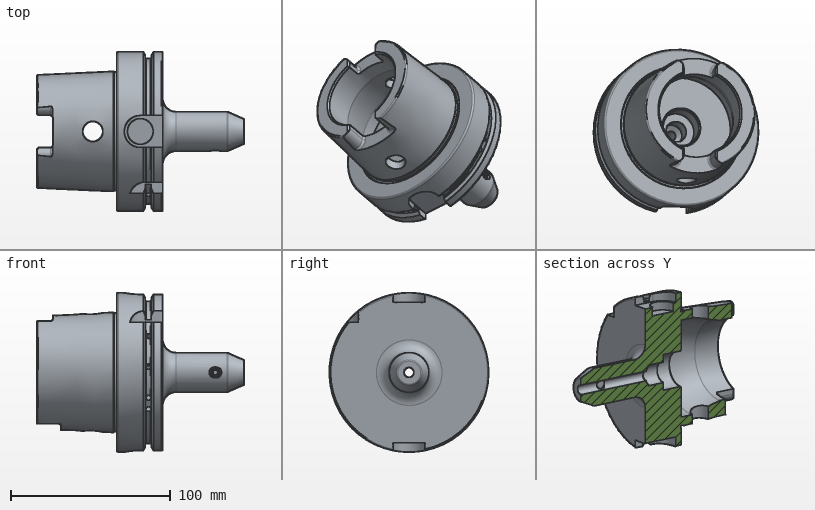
import cadquery as cq
import math


taper_length = 50.0
nose_end = 80.0
flange_width = 29.0

taper_end_radius = 35.5
taper_seat_radius = 37.7
taper_end_fillet = 0.9
undercut_start = -2.2
undercut_floor_start = -1.4
undercut_radius = 37.3
undercut_depth = 0.4
undercut_outer_radius = 39.1

flange_radius = 49.98
flange_edge_fillet = 1.0
rim_fillet = 0.9
groove_left = 16.6
groove_right = 23.1
groove_wall_left = 18.0
groove_wall_right = 21.7
groove_bevel_radius = 47.7
groove_floor_radius = 45.8
groove_corner_radius = 0.5

shank_radius = 12.5
shank_root_radius = 8.0
nose_cone_start = 69.3
nose_cone_end_radius = 7.8
nose_shoulder_fillet = 1.7
nose_end_fillet = 0.9

mouth_radius = 26.0
mouth_chamfer = 1.0
grip_cone_start = -30.5
grip_cone_end = -8.6
chamber_radius = 31.5
chamber_floor = 0.0
thread_radius = 11.5
thread_chamfer = 0.9
thread_floor = 14.3
drill_radius = 6.5
drill_end = 26.0
drill_tip_angle = 59
tool_bore_radius = 3.0

slot_half_width = 10.0
slot_flare_start = 27.2
slot_flare_radius = 5.1
slot_flare_half_width = 19.5
slot_corner_fillet = 1.4
slot_mouth_chamfer = 1.2
upper_slot_depth = 10.0
lower_slot_depth = 15.1

cross_hole_x = -15.0
cross_hole_radius = 6.2

keyway_x = 14.8
keyway_half_width = 10.0
keyway_floor = 44.0
chip_hole_radius = 8.0
chip_hole_depth = 5.5

notch_x = 18.0
notch_wall_y = -31.7
notch_floor_z = 31.5
notch_radius = 10.0

groove_hole_x = 20.0
groove_hole_radius = 1.7
groove_hole_depth = 12.2
groove_hole_angles = (29.8, 4.6, -20.3, -30.2)

screw_x = 61.9
screw_radius = 3.0
screw_hole_chamfer = 0.9
screw_recess = 0.5
screw_chamfer = 0.8
socket_width = 3.0
socket_depth = 3.2


def cylinder(start, direction, radius, length):
    return cq.Workplane(cq.Solid.makeCylinder(radius, length, cq.Vector(*start), cq.Vector(*direction)))


def revolve_about_x(profile):
    return profile.close().revolve(360, (0, 0, 0), (1, 0, 0))


def make_taper():
    taper = (
        cq.Workplane("XY")
        .moveTo(-taper_length, 0)
        .lineTo(-taper_length, taper_end_radius)
        .lineTo(undercut_start, taper_seat_radius)
        .lineTo(undercut_floor_start, undercut_radius)
        .lineTo(undercut_depth, undercut_radius)
        .lineTo(undercut_depth, 0)
    )
    return revolve_about_x(taper).faces("<X").edges().fillet(taper_end_fillet)


def make_flange():
    flange = cylinder((0, 0, 0), (1, 0, 0), flange_radius, flange_width)
    flange = flange.faces("<X").edges().fillet(flange_edge_fillet)
    flange = flange.faces(">X").edges().fillet(rim_fillet)
    for side in (0, 180):
        flange = flange.cut(keyway().rotate((0, 0, 0), (1, 0, 0), side))
    face_recess = (
        cq.Workplane("XY")
        .moveTo(0, 0)
        .lineTo(0, undercut_outer_radius)
        .lineTo(undercut_depth, undercut_outer_radius - undercut_depth)
        .lineTo(undercut_depth, 0)
    )
    return flange.cut(revolve_about_x(face_recess)).cut(gripping_groove())


def gripping_groove():
    corner = groove_corner_radius
    profile = (
        cq.Workplane("XY")
        .moveTo(groove_left, flange_radius)
        .lineTo(groove_wall_left, groove_bevel_radius)
        .lineTo(groove_wall_left, groove_floor_radius + corner)
        .radiusArc((groove_wall_left + corner, groove_floor_radius), -corner)
        .lineTo(groove_wall_right - corner, groove_floor_radius)
        .radiusArc((groove_wall_right, groove_floor_radius + corner), -corner)
        .lineTo(groove_wall_right, groove_bevel_radius)
        .lineTo(groove_right, flange_radius)
    )
    return revolve_about_x(profile)


def make_shank():
    profile = (
        cq.Workplane("XY")
        .moveTo(flange_width - 1.3, 0)
        .lineTo(flange_width - 1.3, shank_radius + shank_root_radius)
        .lineTo(flange_width, shank_radius + shank_root_radius)
        .radiusArc((flange_width + shank_root_radius, shank_radius), -shank_root_radius)
        .lineTo(nose_cone_start, shank_radius)
        .lineTo(nose_end, nose_cone_end_radius)
        .lineTo(nose_end, 0)
    )
    shank = revolve_about_x(profile)
    shoulder = cq.selectors.BoxSelector(
        (nose_cone_start - 0.1, -26, -26), (nose_cone_start + 0.1, 26, 26), boundingbox=True
    )
    shank = shank.edges(shoulder).fillet(nose_shoulder_fillet)
    return shank.faces(">X").edges().fillet(nose_end_fillet)


def axial_bores():
    drill_tip_end = drill_end + (drill_radius - tool_bore_radius) / math.tan(math.radians(drill_tip_angle))
    profile = (
        cq.Workplane("XY")
        .moveTo(-taper_length, 0)
        .lineTo(-taper_length, mouth_radius + mouth_chamfer)
        .lineTo(-taper_length + mouth_chamfer, mouth_radius)
        .lineTo(grip_cone_start, mouth_radius)
        .lineTo(grip_cone_end, chamber_radius)
        .lineTo(chamber_floor, chamber_radius)
        .lineTo(chamber_floor, thread_radius + thread_chamfer)
        .lineTo(chamber_floor + thread_chamfer, thread_radius)
        .lineTo(thread_floor, thread_radius)
        .lineTo(thread_floor, drill_radius)
        .lineTo(drill_end, drill_radius)
        .lineTo(drill_tip_end, tool_bore_radius)
        .lineTo(nose_end, tool_bore_radius)
        .lineTo(nose_end, 0)
    )
    return revolve_about_x(profile)


def drive_slot(depth):
    """Slot on the +Z side of the open end, with walls that flare outwards near the surface."""
    flare_end_y = slot_half_width + slot_flare_radius
    flare_end_z = slot_flare_start + slot_flare_radius
    top = taper_seat_radius + 1.3
    slot = (
        cq.Workplane("YZ", origin=(-taper_length, 0, 0))
        .moveTo(-slot_half_width, 0)
        .lineTo(-slot_half_width, slot_flare_start)
        .radiusArc((-flare_end_y, flare_end_z), -slot_flare_radius)
        .lineTo(-slot_flare_half_width, flare_end_z)
        .lineTo(-slot_flare_half_width, top)
        .lineTo(slot_flare_half_width, top)
        .lineTo(slot_flare_half_width, flare_end_z)
        .lineTo(flare_end_y, flare_end_z)
        .radiusArc((slot_half_width, slot_flare_start), -slot_flare_radius)
        .lineTo(slot_half_width, 0)
        .close()
        .extrude(depth)
    )
    walls = cq.selectors.BoxSelector(
        (-taper_length + depth - 0.1, -slot_flare_half_width - 0.1, -0.1),
        (-taper_length + depth + 0.1, slot_flare_half_width + 0.1, flare_end_z + 0.1),
        boundingbox=True,
    )
    slot = slot.edges(walls).edges("not(<Z)").fillet(slot_corner_fillet)
    mouth_half_width = slot_half_width + slot_mouth_chamfer
    mouth = (
        cq.Workplane("XY")
        .moveTo(-taper_length, -mouth_half_width)
        .lineTo(-taper_length, mouth_half_width)
        .lineTo(-taper_length + slot_mouth_chamfer, slot_half_width)
        .lineTo(-taper_length + slot_mouth_chamfer, -slot_half_width)
        .close()
        .extrude(top)
    )
    return slot.union(mouth)


def keyway():
    """Round-ended keyway on the +Z side of the flange, open at the rim."""
    length = flange_width - keyway_x + 1.3
    height = flange_radius - keyway_floor + 1.3
    base = cq.Workplane("XY", origin=(0, 0, keyway_floor))
    straight = base.center(keyway_x + length / 2, 0).rect(length, 2 * keyway_half_width).extrude(height)
    return straight.union(base.center(keyway_x, 0).circle(keyway_half_width).extrude(height))


def corner_notch():
    height = flange_radius - notch_floor_z
    far_y = -flange_radius - 1.3
    far_x = flange_width + 1.3
    return (
        cq.Workplane("XY", origin=(0, 0, notch_floor_z))
        .moveTo(far_x, notch_wall_y)
        .lineTo(notch_x, notch_wall_y)
        .radiusArc((notch_x - notch_radius, notch_wall_y - notch_radius), -notch_radius)
        .lineTo(notch_x - notch_radius, far_y)
        .lineTo(far_x, far_y)
        .close()
        .extrude(height)
    )


def groove_hole(angle):
    """Radial blind hole with a drill-tip bottom."""
    bottom = groove_floor_radius - groove_hole_depth
    tip = bottom - groove_hole_radius / math.tan(math.radians(drill_tip_angle))
    hole = (
        cq.Workplane("XY")
        .moveTo(groove_hole_x, -tip)
        .lineTo(groove_hole_x + groove_hole_radius, -bottom)
        .lineTo(groove_hole_x + groove_hole_radius, -groove_floor_radius - 1.3)
        .lineTo(groove_hole_x, -groove_floor_radius - 1.3)
        .close()
        .revolve(360, (groove_hole_x, 0, 0), (groove_hole_x, 1, 0))
    )
    return hole.rotate((0, 0, 0), (1, 0, 0), -angle)


def screw_hole():
    hole = cylinder((screw_x, 0, 0), (0, -1, 0), screw_radius, shank_radius + 1.3)
    chamfer = cq.Workplane(
        cq.Solid.makeCone(
            screw_radius, screw_radius + screw_hole_chamfer, screw_hole_chamfer,
            cq.Vector(screw_x, -shank_radius + screw_hole_chamfer, 0), cq.Vector(0, -1, 0),
        )
    )
    return hole.union(chamfer)


def make_holder():
    holder = make_flange().union(make_taper()).union(make_shank())
    holder = holder.cut(axial_bores())
    holder = holder.cut(drive_slot(upper_slot_depth))
    holder = holder.cut(drive_slot(lower_slot_depth).rotate((0, 0, 0), (1, 0, 0), 180))
    holder = holder.cut(
        cylinder((cross_hole_x, 0, -flange_radius), (0, 0, 1), cross_hole_radius, 2 * flange_radius)
    )
    holder = holder.cut(cylinder((keyway_x, 0, keyway_floor), (0, 0, -1), chip_hole_radius, chip_hole_depth))
    holder = holder.cut(corner_notch())
    for angle in groove_hole_angles:
        holder = holder.cut(groove_hole(angle))
    return holder.cut(screw_hole())


def make_clamping_screw():
    head_y = -shank_radius + screw_recess
    length = -head_y - tool_bore_radius
    screw = cylinder((screw_x, head_y, 0), (0, 1, 0), screw_radius, length)
    screw = screw.faces("<Y").edges().chamfer(screw_chamfer)
    socket = (
        cq.Workplane("XZ", origin=(screw_x, head_y, 0))
        .polygon(6, socket_width / math.cos(math.pi / 6))
        .extrude(-socket_depth)
    )
    return screw.cut(socket)


holder = make_holder()
clamping_screw = make_clamping_screw()

result = cq.Compound.makeCompound([holder.val(), clamping_screw.val()])